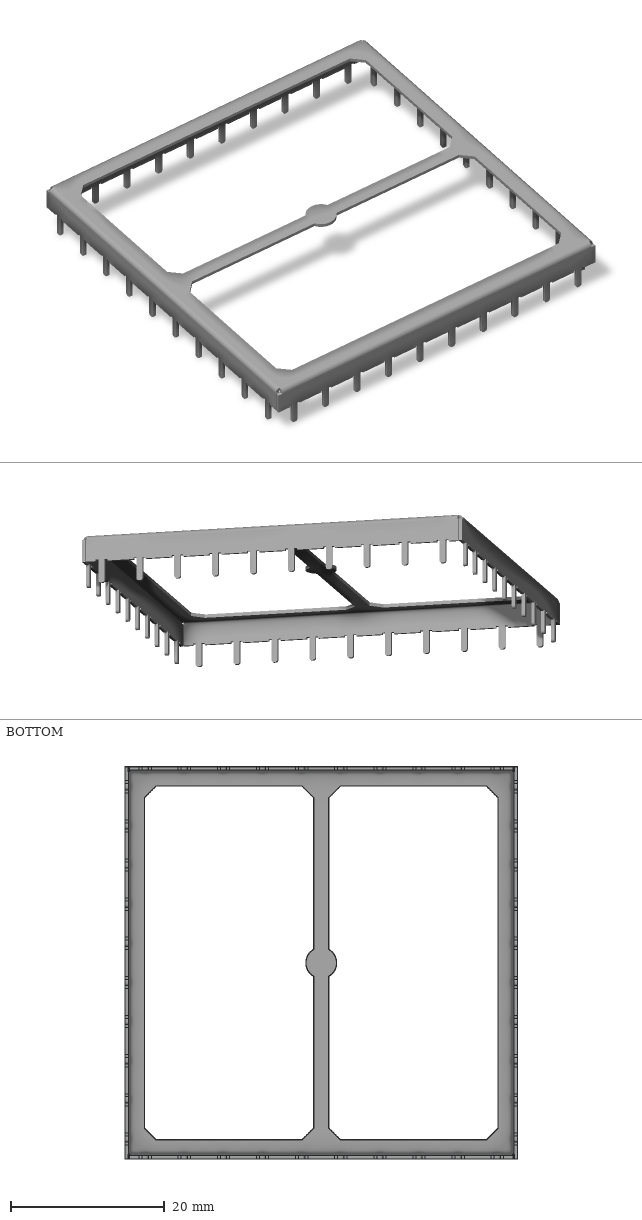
import cadquery as cq

side = 51.0
height = 6.4
sheet = 0.45
bend_radius = 0.6

wall_drop = 3.5
corner_slit = 0.1

pin_count = 10
pin_span = 45.75
pin_width = 0.8
pin_tip_radius = 0.3
relief_width = 0.38
relief_depth = 0.2

rim = 2.55
bar_width = 2.0
window_chamfer = 1.5
disc_diameter = 4.05

half = side / 2
wall_bottom = height - wall_drop
pin_pitch = pin_span / (pin_count - 1)
pin_places = [-pin_span / 2 + number * pin_pitch for number in range(pin_count)]


def hollow_shell():
    """Open-bottomed box of sheet thickness with folded top edges."""
    outer = (
        cq.Workplane("XY")
        .workplane(offset=wall_bottom)
        .rect(side, side)
        .extrude(wall_drop)
        .faces(">Z")
        .edges()
        .fillet(bend_radius)
    )
    inner_side = side - 2 * sheet
    inner = (
        cq.Workplane("XY")
        .workplane(offset=wall_bottom)
        .rect(inner_side, inner_side)
        .extrude(wall_drop - sheet)
        .faces(">Z")
        .edges()
        .fillet(bend_radius - sheet)
    )
    return outer.cut(inner)


def windows():
    """Two chamfered openings, kept clear of the disc on the middle bar."""
    length_x = half - rim - bar_width / 2
    length_y = side - 2 * rim
    centre_x = (bar_width + length_x) / 2
    openings = (
        cq.Workplane("XY")
        .workplane(offset=wall_bottom)
        .pushPoints([(-centre_x, 0), (centre_x, 0)])
        .rect(length_x, length_y)
        .extrude(height)
        .edges("|Z")
        .chamfer(window_chamfer)
    )
    disc = cq.Workplane("XY").workplane(offset=wall_bottom).circle(disc_diameter / 2).extrude(height)
    return openings.cut(disc)


def corner_reliefs():
    """Free the folds at the corners: a notch through both bends, and below it a slit beside the X wall."""
    corners = cq.Workplane("XY").rect(side - bend_radius, side - bend_radius, forConstruction=True).vertices()
    notches = corners.rect(bend_radius, bend_radius).extrude(bend_radius)
    slit_x = half - sheet - corner_slit / 2
    slit_y = half - bend_radius / 2
    slits = (
        cq.Workplane("XY")
        .rect(2 * slit_x, 2 * slit_y, forConstruction=True)
        .vertices()
        .rect(corner_slit, bend_radius)
        .extrude(wall_drop)
    )
    return notches.translate((0, 0, height - bend_radius)).union(slits.translate((0, 0, wall_bottom)))


def wall_row(profile):
    """Extrude a -Y face profile through the wall thickness and repeat it on all four sides."""
    strip = profile.extrude(-sheet)
    rows = strip
    for turn in (90, 180, 270):
        rows = rows.union(strip.rotate((0, 0, 0), (0, 0, 1), turn))
    return rows


def reliefs():
    """Shallow notches in the wall edge on both sides of every pin."""
    offset = (pin_width + relief_width) / 2
    profile = (
        cq.Workplane("XZ", origin=(0, -half, wall_bottom))
        .pushPoints([(place + sign * offset, 0) for place in pin_places for sign in (-1, 1)])
        .rect(relief_width, 2 * relief_depth)
    )
    return wall_row(profile)


def pins():
    """Rows of pins with rounded tips below the walls."""
    half_width = pin_width / 2
    flat = half_width - pin_tip_radius
    root = wall_bottom + relief_depth
    profile = cq.Workplane("XZ", origin=(0, -half, 0))
    for place in pin_places:
        profile = (
            profile.moveTo(place - half_width, root)
            .lineTo(place - half_width, pin_tip_radius)
            .radiusArc((place - flat, 0), -pin_tip_radius)
            .lineTo(place + flat, 0)
            .radiusArc((place + half_width, pin_tip_radius), -pin_tip_radius)
            .lineTo(place + half_width, root)
            .close()
        )
    return wall_row(profile)


result = hollow_shell().cut(windows()).cut(corner_reliefs()).cut(reliefs()).union(pins())